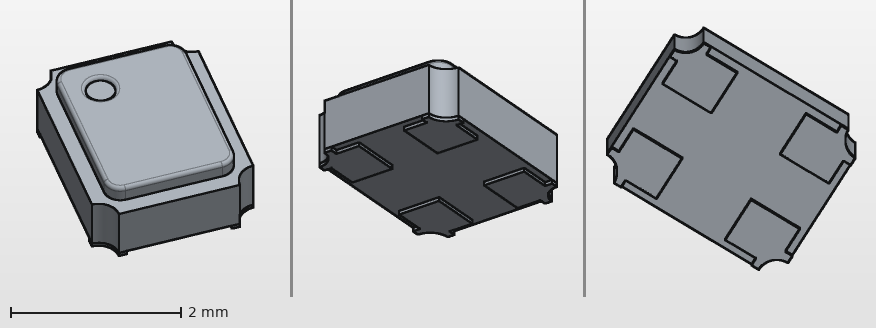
import cadquery as cq
import math

length = 2.5
width = 2.0
total_height = 0.9
pad_thickness = 0.05
lid_height = 0.2
castellation_radius = 0.25

lid_margin = 0.2
lid_corner_radius = 0.2
lid_edge_radius = 0.05

dimple_x = -0.6
dimple_y = -0.35
dimple_floor_radius = 0.175
dimple_depth = 0.05

pad_length = 0.775
pad_width = 0.675
pad_tab = 0.1
pad_inset = 0.1

half_length = length / 2
half_width = width / 2
base_top = total_height - lid_height
base_height = base_top - pad_thickness


def make_base():
    """Rectangular block with a quarter-round castellation at each corner."""
    block = cq.Workplane("XY").workplane(offset=pad_thickness).rect(length, width).extrude(base_height)
    corner_cuts = (
        cq.Workplane("XY").workplane(offset=pad_thickness)
        .rect(length, width, forConstruction=True).vertices()
        .circle(castellation_radius).extrude(base_height)
    )
    return block.cut(corner_cuts)


def make_lid():
    """Raised top with round corners and a rounded upper edge."""
    return (
        cq.Workplane("XY").workplane(offset=base_top)
        .rect(length - 2 * lid_margin, width - 2 * lid_margin).extrude(lid_height)
        .edges("|Z").fillet(lid_corner_radius)
        .faces(">Z").edges().fillet(lid_edge_radius)
    )


def make_dimple():
    """Cutter for the flat-floored orientation mark with a convex round wall."""
    rim_radius = dimple_floor_radius + dimple_depth
    arc_offset = dimple_depth * math.sqrt(0.5)
    return (
        cq.Workplane("XZ")
        .moveTo(0, -dimple_depth)
        .lineTo(dimple_floor_radius, -dimple_depth)
        .threePointArc((rim_radius - arc_offset, arc_offset - dimple_depth), (rim_radius, 0))
        .lineTo(0, 0)
        .close()
        .revolve(360, (0, 0), (0, 1))
        .translate((dimple_x, dimple_y, total_height))
    )


def make_housing():
    """Base and lid in one piece, marked with the dimple."""
    return make_base().union(make_lid()).cut(make_dimple())


def make_pad(x_side, y_side):
    """Corner pad whose two short tabs follow the castellation to the housing edges."""
    tab_end = castellation_radius + pad_tab
    arc_offset = castellation_radius * math.sqrt(0.5)
    pad = (
        cq.Workplane("XY")
        .moveTo(castellation_radius, 0)
        .lineTo(tab_end, 0)
        .lineTo(tab_end, pad_inset)
        .lineTo(pad_length, pad_inset)
        .lineTo(pad_length, pad_width)
        .lineTo(pad_inset, pad_width)
        .lineTo(pad_inset, tab_end)
        .lineTo(0, tab_end)
        .lineTo(0, castellation_radius)
        .threePointArc((arc_offset, arc_offset), (castellation_radius, 0))
        .close()
        .extrude(pad_thickness)
        .translate((-half_length, -half_width, 0))
    )
    if x_side > 0:
        pad = pad.mirror("YZ")
    if y_side > 0:
        pad = pad.mirror("XZ")
    return pad


housing = make_housing()
pads = [make_pad(x_side, y_side) for x_side in (-1, 1) for y_side in (-1, 1)]

result = cq.Compound.makeCompound([housing.solids().val(), *[pad.val() for pad in pads]])